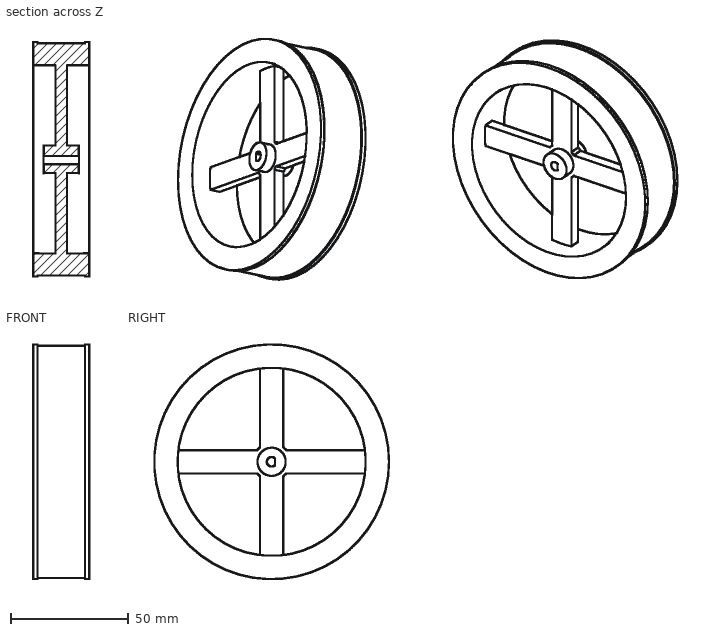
import cadquery as cq

rim_width = 24.0
rim_diameter = 100.0
rim_bore_diameter = 80.0
flange_width = 2.0
groove_depth = 0.5

spoke_width = 10.0
spoke_thickness = 5.0
corner_chamfer = 1.2
spoke_overlap = 2.0
hub_diameter = 12.0
hub_length = 15.0
bore_diameter = 4.0
bore_flat_offset = 1.4


def cylinder(diameter, length):
    """Cylinder along X, centred on the origin."""
    return cq.Workplane("YZ", origin=(-length / 2, 0, 0)).circle(diameter / 2).extrude(length)


def make_rim():
    groove_width = rim_width - 2 * flange_width
    groove = cylinder(rim_diameter, groove_width).cut(
        cylinder(rim_diameter - 2 * groove_depth, groove_width)
    )
    return cylinder(rim_diameter, rim_width).cut(groove).cut(cylinder(rim_bore_diameter, rim_width))


def make_spokes():
    """Cross of four spokes with chamfered inner corners, whose ends run slightly into the rim."""
    span = rim_bore_diameter + 2 * spoke_overlap
    upright = cq.Workplane("XY").box(spoke_thickness, spoke_width, span)
    level = cq.Workplane("XY").box(spoke_thickness, span, spoke_width)
    reach = spoke_width
    inner_corners = cq.selectors.BoxSelector((-reach, -reach, -reach), (reach, reach, reach))
    return upright.union(level).edges("|X").edges(inner_corners).chamfer(corner_chamfer)


def make_bore():
    """D-shaped bore running the full length of the hub."""
    bore_radius = bore_diameter / 2
    below_flat = cq.Workplane("XY").box(
        hub_length, bore_radius + bore_flat_offset, bore_diameter
    ).translate((0, (bore_flat_offset - bore_radius) / 2, 0))
    return cylinder(bore_diameter, hub_length).intersect(below_flat)


hub = cylinder(hub_diameter, hub_length)
result = make_rim().union(make_spokes()).union(hub).cut(make_bore())